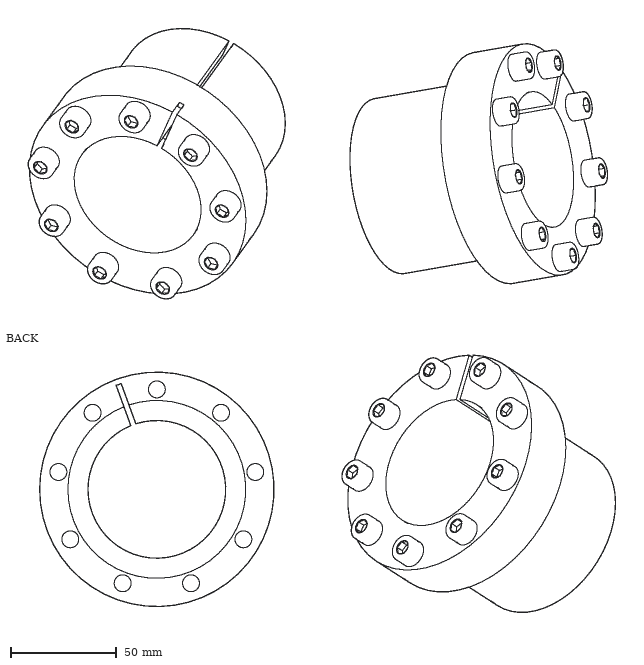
import cadquery as cq
import math


flange_dia = 111.0
tube_dia = 84.1
bore_dia = 65.0
flange_thickness = 8.7
ring_thickness = 17.4
tube_length = 55.0
collar_thickness = flange_thickness + ring_thickness
sleeve_length = collar_thickness + tube_length

slit_width = 2.4
slit_end_radius = 52.7

screw_count = 9
screw_circle_dia = 94.6
head_dia = 13.0
head_height = 8.0
head_edge_radius = 0.8
shank_dia = 8.0
hexagon_sides = 6
socket_flats = 6.0
socket_mouth_dia = 7.0
socket_depth = 4.0
socket_mouth_slope = 30.0

screw_pitch_angle = 360.0 / screw_count
slit_angle = screw_pitch_angle / 2


def cylinder(diameter, y_start, length):
    """Cylinder on the Y axis running from y_start toward +Y."""
    plane = cq.Plane(origin=(0, y_start, 0), xDir=(1, 0, 0), normal=(0, 1, 0))
    return cq.Workplane(plane).circle(diameter / 2).extrude(length)


def slit_cutter(y_start, length, outer_radius):
    """Radial slot from the axis out to outer_radius, turned to the slit angle."""
    block = cq.Workplane("XY").box(slit_width, length, outer_radius, centered=(True, False, False))
    return block.translate((0, y_start, 0)).rotate((0, 0, 0), (0, 1, 0), slit_angle)


def place_on_circle(shape, index):
    """Move a shape from the Y axis to its place on the screw circle."""
    on_top = shape.translate((0, 0, screw_circle_dia / 2))
    return on_top.rotate((0, 0, 0), (0, 1, 0), index * screw_pitch_angle)


def make_sleeve():
    """Tube with a two-step collar: a fully split flange and a ring split only on the inside."""
    flange = cylinder(flange_dia, 0, flange_thickness)
    flange = flange.cut(slit_cutter(0, flange_thickness, flange_dia))

    rear_length = sleeve_length - flange_thickness
    rear = cylinder(flange_dia, flange_thickness, ring_thickness)
    rear = rear.union(cylinder(tube_dia, flange_thickness, rear_length))
    rear = rear.cut(slit_cutter(flange_thickness, rear_length, slit_end_radius))

    sleeve = flange.union(rear, clean=False)
    sleeve = sleeve.cut(cylinder(bore_dia, 0, sleeve_length), clean=False)
    for index in range(screw_count):
        screw_hole = place_on_circle(cylinder(shank_dia, 0, collar_thickness), index)
        sleeve = sleeve.cut(screw_hole, clean=False)
    return sleeve


def make_socket():
    """Hexagonal socket with a conical mouth, open at the front of the head."""
    front = cq.Plane(origin=(0, -head_height, 0), xDir=(1, 0, 0), normal=(0, 1, 0))
    across_corners = socket_flats / math.cos(math.pi / hexagon_sides)
    hexagon = cq.Workplane(front).polygon(hexagon_sides, across_corners).extrude(socket_depth)
    mouth_radius = socket_mouth_dia / 2
    mouth_depth = mouth_radius * math.tan(math.radians(socket_mouth_slope))
    mouth = cq.Solid.makeCone(mouth_radius, 0, mouth_depth, front.origin, front.zDir)
    return hexagon.union(cq.Workplane(mouth))


def make_screw():
    """Socket cap screw on the Y axis, with its head resting on the plane y = 0."""
    head = cylinder(head_dia, -head_height, head_height)
    head = head.faces("<Y").edges().fillet(head_edge_radius)
    return head.cut(make_socket()).union(cylinder(shank_dia, 0, collar_thickness))


sleeve = make_sleeve()
screw = make_screw()
screws = [place_on_circle(screw, index).solids().val() for index in range(screw_count)]

result = cq.Compound.makeCompound([sleeve.solids().val(), *screws])